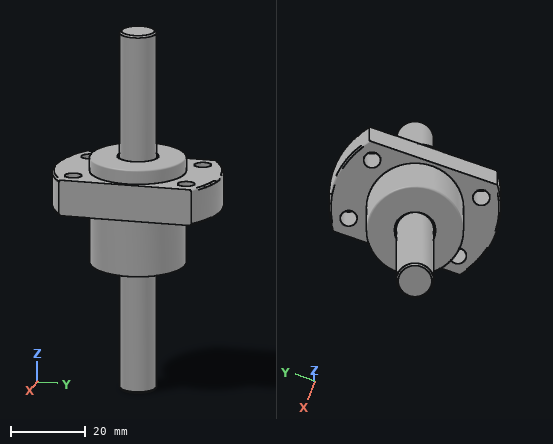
import cadquery as cq
import math

shaft_length = 100.0
shaft_diameter = 10.0
shaft_chamfer = 0.5

nut_length = 30.0
nut_diameter = 26.0
nut_fillet = 0.5
recess_diameter = 11.0
recess_depth = 1.0

flange_diameter = 46.0
flange_width = 28.0
flange_thickness = 10.0
flange_setback = 4.0
flange_fillet = 0.5

hole_diameter = 4.5
hole_circle_radius = 18.0
hole_angle = 60.0

nut_bottom = -nut_length / 2
nut_top = nut_length / 2
flange_bottom = nut_top - flange_setback - flange_thickness


def cylinder(diameter, length, bottom):
    return cq.Workplane("XY").workplane(offset=bottom).circle(diameter / 2).extrude(length)


def make_shaft():
    shaft = cylinder(shaft_diameter, shaft_length, -shaft_length / 2)
    return shaft.faces("<Z or >Z").chamfer(shaft_chamfer)


def make_nut_body():
    body = cylinder(nut_diameter, nut_length, nut_bottom).faces("<Z or >Z").fillet(nut_fillet)
    for bottom in (nut_bottom, nut_top - recess_depth):
        body = body.cut(cylinder(recess_diameter, recess_depth, bottom))
    return body


def make_flange():
    disc = cylinder(flange_diameter, flange_thickness, flange_bottom)
    disc = disc.faces("<Z or >Z").fillet(flange_fillet)
    flats = cq.Workplane("XY").box(flange_width, flange_diameter, nut_length)
    return disc.intersect(flats)


def make_holes():
    x = hole_circle_radius * math.cos(math.radians(hole_angle))
    y = hole_circle_radius * math.sin(math.radians(hole_angle))
    return (
        cq.Workplane("XY")
        .workplane(offset=flange_bottom)
        .rect(2 * x, 2 * y, forConstruction=True)
        .vertices()
        .circle(hole_diameter / 2)
        .extrude(flange_thickness)
    )


flange = make_flange().cut(make_holes())
result = make_nut_body().union(flange).union(make_shaft())